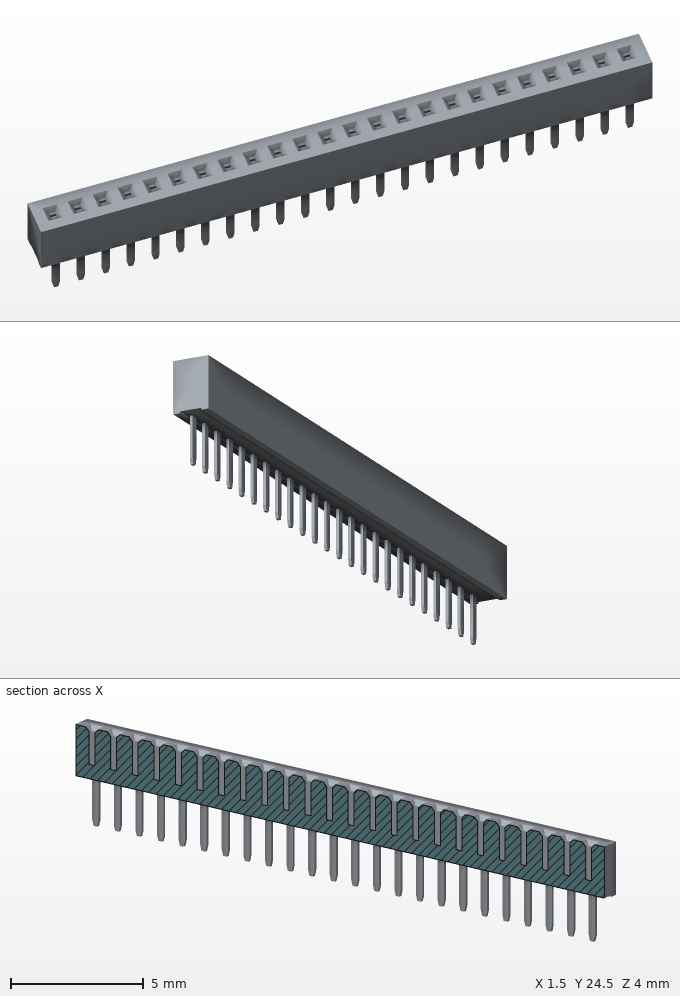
import cadquery as cq

length = 24.5
width = 1.5
total_height = 4.0
body_height = 2.13
pin_count = 24

end_allowance = 0.5
pitch = length / (pin_count + end_allowance)

foot_width = 0.3
relief_depth = 0.07

mouth_x = 0.65
mouth_y = 0.6
lead_in_depth = 0.17
throat_x = 0.32
throat_y = 0.25
slit_width = 0.1
slit_depth = 1.47

pin_offset_x = 0.3
pin_thickness = 0.12
pin_width = 0.3
tip_width = 0.17
tip_height = 0.25

pin_positions_y = [(i - (pin_count - 1) / 2) * pitch for i in range(pin_count)]


def make_body():
    body = cq.Workplane("XY").box(width, length, body_height, centered=(True, True, False))
    relief = cq.Workplane("XY").box(
        width - 2 * foot_width, length, relief_depth, centered=(True, True, False)
    )
    return body.cut(relief)


def make_socket():
    """Cutter for one socket, centred on the Z axis at the top of the body."""
    top = cq.Workplane("XY", origin=(0, 0, body_height))
    lead_in = (
        top.rect(mouth_x, mouth_y)
        .workplane(offset=-lead_in_depth)
        .rect(throat_x, throat_y)
        .loft(ruled=True)
    )
    slit = top.rect(slit_width, throat_y).extrude(-slit_depth)
    return lead_in.union(slit)


def make_pin():
    tip_z = body_height - total_height
    half = pin_width / 2
    tip_half = tip_width / 2
    outline = [
        (-half, relief_depth),
        (-half, tip_z + tip_height),
        (-tip_half, tip_z),
        (tip_half, tip_z),
        (half, tip_z + tip_height),
        (half, relief_depth),
    ]
    return (
        cq.Workplane("YZ", origin=(pin_offset_x, 0, 0))
        .polyline(outline)
        .close()
        .extrude(pin_thickness / 2, both=True)
    )


result = make_body()
socket = make_socket()
pin = make_pin()
for y in pin_positions_y:
    result = result.cut(socket.translate((0, y, 0)))
    result = result.union(pin.translate((0, y, 0)))